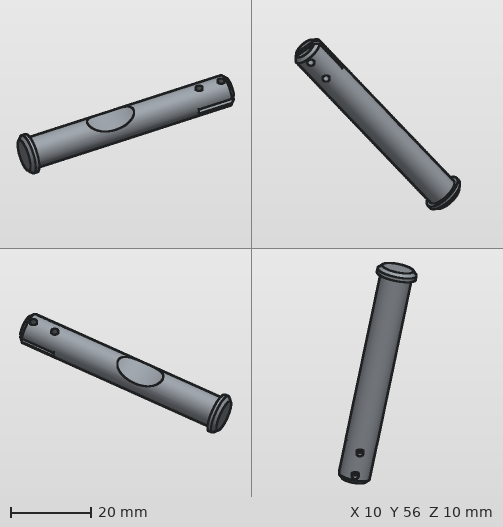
import cadquery as cq

total_length = 56.0
shaft_diameter = 8.0
head_diameter = 10.0
head_thickness = 2.0
edge_chamfer = 1.0

slot_length = 10.0
slot_width = 1.5

hole_diameter = 1.8
hole_spacing = 6.0
first_hole_from_tail = 2.25
hole_count = 2

relief_radius = 12.5
relief_depth = 1.65
relief_from_head_end = 23.6

shaft_radius = shaft_diameter / 2
head_radius = head_diameter / 2


def make_pin():
    """Revolve the half profile of head and shaft about the Y axis."""
    profile = [
        (0, 0),
        (head_radius - edge_chamfer, 0),
        (head_radius, edge_chamfer),
        (head_radius, head_thickness),
        (shaft_radius, head_thickness),
        (shaft_radius, total_length - edge_chamfer),
        (shaft_radius - edge_chamfer, total_length),
        (0, total_length),
    ]
    return cq.Workplane("XY").polyline(profile).close().revolve(360, (0, 0), (0, 1))


def make_tail_slot():
    """Box that splits the tail into two prongs."""
    slot = cq.Workplane("XY").box(shaft_diameter, slot_length, slot_width)
    return slot.translate((0, total_length - slot_length / 2, 0))


def make_cross_holes():
    """Row of holes along the shaft, each passing right through in Z."""
    hole_centers = [
        (0, total_length - first_hole_from_tail - index * hole_spacing)
        for index in range(hole_count)
    ]
    holes = cq.Workplane("XY").pushPoints(hole_centers).circle(hole_diameter / 2)
    return holes.extrude(shaft_radius, both=True)


def make_relief():
    """Cylinder along X whose lowest line sits at the relief depth."""
    relief_axis_height = shaft_radius - relief_depth + relief_radius
    relief = cq.Workplane("YZ").center(relief_from_head_end, relief_axis_height).circle(relief_radius)
    return relief.extrude(shaft_radius, both=True)


result = make_pin().cut(make_tail_slot()).cut(make_cross_holes()).cut(make_relief())